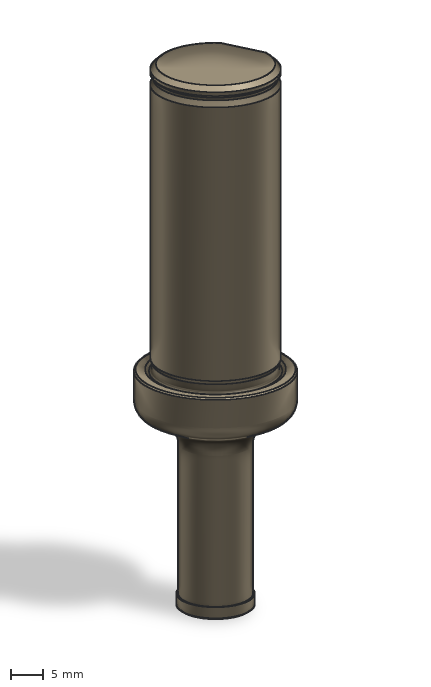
import cadquery as cq
import math

total_height = 89.0
tip_height = 2.4
tip_radius = 6.01
tip_shoulder_z = 0.6
tip_cone_radius = 5.5
tip_cone_z = 0.3
tip_flat_radius = 2.2 / 2

stem_radius = 11.5 / 2
stem_top_z = 27.1
stem_blend_radius = 3.6
collar_radius = 25.0 / 2
collar_bottom_z = 34.2
collar_blend_radius = 2.7
collar_top_z = 39.1
collar_chamfer = 0.3

neck_radius = 19.5 / 2
undercut_lip_radius = 10.8
undercut_depth = 0.3
undercut_fillet = 0.45

shank_radius = 20.0 / 2
shank_bottom_z = 40.9
shank_bottom_chamfer_height = 0.6
groove_top_z = 87.6
groove_radius = 9.57
groove_wall_height = 0.45
groove_floor_z = 86.7
groove_bottom_z = 85.7
top_chamfer_width = 0.9
top_chamfer_height = 0.8

flat_offset = 8.2
runout_radius = 5.0
runout_tangent_z = 46.7


def blend_arc(profile, center, radius, start_angle, end_angle):
    """Extend the profile by an arc from the current point, angles in radians."""
    def on_arc(angle):
        return (center[0] + radius * math.cos(angle), center[1] + radius * math.sin(angle))

    return profile.threePointArc(on_arc((start_angle + end_angle) / 2), on_arc(end_angle))


def make_tip():
    """Low disc with a rounded-off rim and a nearly flat conical end."""
    profile = (
        cq.Workplane("XZ")
        .moveTo(0, 0)
        .lineTo(tip_flat_radius, 0)
        .lineTo(tip_cone_radius, tip_cone_z)
        .lineTo(tip_radius, tip_shoulder_z)
        .lineTo(tip_radius, tip_height)
        .lineTo(0, tip_height)
        .close()
    )
    return profile.revolve(360, (0, 0, 0), (0, 1, 0))


def make_turned_body():
    """Stem, collar, neck and shank as one revolved profile."""
    profile = cq.Workplane("XZ").moveTo(0, tip_height).lineTo(stem_radius, tip_height)

    profile = profile.lineTo(stem_radius, stem_top_z)
    stem_blend_center = (stem_radius + stem_blend_radius, stem_top_z)
    collar_blend_center = (collar_radius - collar_blend_radius, collar_bottom_z)
    center_dx = collar_blend_center[0] - stem_blend_center[0]
    center_dz = collar_blend_center[1] - stem_blend_center[1]
    radius_share = (stem_blend_radius + collar_blend_radius) / math.hypot(center_dx, center_dz)
    cone_normal = math.atan2(center_dz, center_dx) + math.acos(radius_share)
    profile = blend_arc(profile, stem_blend_center, stem_blend_radius, math.pi, cone_normal)
    profile = profile.lineTo(
        collar_blend_center[0] + collar_blend_radius * math.cos(cone_normal - math.pi),
        collar_blend_center[1] + collar_blend_radius * math.sin(cone_normal - math.pi),
    )
    profile = blend_arc(profile, collar_blend_center, collar_blend_radius, cone_normal - math.pi, 0)

    undercut_z = collar_top_z - undercut_depth
    undercut_center = (neck_radius + undercut_fillet, undercut_z + undercut_fillet)
    profile = (
        profile.lineTo(collar_radius, collar_top_z - collar_chamfer)
        .lineTo(collar_radius - collar_chamfer, collar_top_z)
        .lineTo(undercut_lip_radius, collar_top_z)
        .lineTo(undercut_center[0], undercut_z)
    )
    profile = blend_arc(profile, undercut_center, undercut_fillet, 1.5 * math.pi, math.pi)

    profile = (
        profile.lineTo(neck_radius, shank_bottom_z - shank_bottom_chamfer_height)
        .lineTo(shank_radius, shank_bottom_z)
        .lineTo(shank_radius, groove_bottom_z)
        .lineTo(groove_radius, groove_floor_z)
        .lineTo(groove_radius, groove_top_z - groove_wall_height)
        .lineTo(shank_radius, groove_top_z)
        .lineTo(shank_radius, total_height - top_chamfer_height)
        .lineTo(shank_radius - top_chamfer_width, total_height)
        .lineTo(0, total_height)
        .close()
    )
    return profile.revolve(360, (0, 0, 0), (0, 1, 0))


def make_flat_cutter():
    """Stock to remove beside the flat, bounded below by the run-out arc."""
    runout_center = (flat_offset + runout_radius, runout_tangent_z)
    profile = (
        cq.Workplane("YZ")
        .moveTo(runout_center[0], total_height)
        .lineTo(flat_offset, total_height)
        .lineTo(flat_offset, runout_tangent_z)
    )
    profile = blend_arc(profile, runout_center, runout_radius, math.pi, 1.5 * math.pi).close()
    return profile.extrude(shank_radius, both=True)


tip = make_tip()
holder = make_turned_body().cut(make_flat_cutter())

result = cq.Compound.makeCompound([holder.val(), tip.val()])